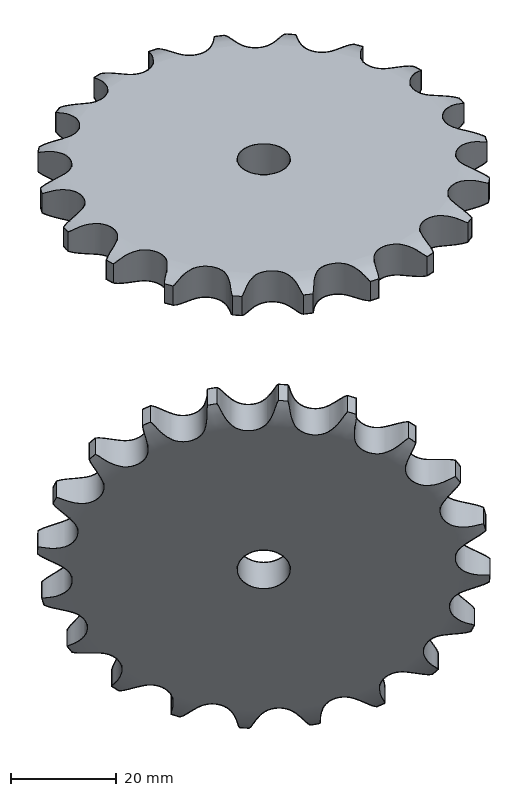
import cadquery as cq
import math

overall_size = 85.0
tooth_count = 20
pitch_diameter = 81.2
roller_diameter = 8.5
thickness = 7.2
bore_diameter = 10.0
flat_face_radius = 37.15

pitch_radius = pitch_diameter / 2
tooth_angle = 360 / tooth_count
chain_pitch = pitch_diameter * math.sin(math.radians(tooth_angle / 2))
side_rounding_radius = chain_pitch

seating_radius = 1.005 * roller_diameter / 2
working_radius = 1.3025 * roller_diameter
seating_angle = 35 + 60 / tooth_count
working_sweep = 18 - 56 / tooth_count
topping_angle = 17 - 64 / tooth_count
working_offset = 0.8 * roller_diameter
topping_offset = 1.4 * roller_diameter
topping_radius = (
    working_offset * math.cos(math.radians(working_sweep))
    + topping_offset * math.cos(math.radians(topping_angle))
    - working_radius
)
flank_length = (
    topping_offset * math.sin(math.radians(topping_angle))
    - working_offset * math.sin(math.radians(working_sweep))
)
flank_angle = seating_angle - working_sweep
gap_end_angle = 45.0


def offset_point(start, distance, angle):
    """Point at a distance from start, along an angle in degrees from +X."""
    direction = math.radians(angle)
    return (start[0] + distance * math.cos(direction), start[1] + distance * math.sin(direction))


def mirrored(point):
    return (-point[0], point[1])


seat_center = (0, pitch_radius)
gap_bottom = (0, pitch_radius - seating_radius)
seat_end = offset_point(seat_center, seating_radius, -seating_angle)
working_center = offset_point(seat_end, working_radius, 180 - seating_angle)
working_middle = offset_point(working_center, working_radius, working_sweep / 2 - seating_angle)
working_end = offset_point(working_center, working_radius, -flank_angle)
flank_end = offset_point(working_end, flank_length, 90 - flank_angle)
topping_center = offset_point(flank_end, topping_radius, -flank_angle)
topping_middle = offset_point(topping_center, topping_radius, 180 - (flank_angle + gap_end_angle) / 2)
topping_end = offset_point(topping_center, topping_radius, 180 - gap_end_angle)

corner_y = overall_size / 2
corner_x = topping_center[0] - math.sqrt(topping_radius**2 - (corner_y - topping_center[1]) ** 2)
tip_radius = math.hypot(corner_x, corner_y)


def make_blank():
    """Disc with a bore, its sides rounded down from the flat faces to the tip cylinder."""
    half_thickness = thickness / 2
    bore_radius = bore_diameter / 2
    rounding_center = (flat_face_radius, half_thickness - side_rounding_radius)
    rounding_sweep = math.degrees(math.asin((tip_radius - flat_face_radius) / side_rounding_radius))
    side_middle = offset_point(rounding_center, side_rounding_radius, 90 - rounding_sweep / 2)
    side_end = offset_point(rounding_center, side_rounding_radius, 90 - rounding_sweep)
    return (
        cq.Workplane("XZ")
        .moveTo(bore_radius, -half_thickness)
        .lineTo(bore_radius, half_thickness)
        .lineTo(flat_face_radius, half_thickness)
        .threePointArc(side_middle, side_end)
        .lineTo(side_end[0], -side_end[1])
        .threePointArc((side_middle[0], -side_middle[1]), (flat_face_radius, -half_thickness))
        .close()
        .revolve(360, (0, 0, 0), (0, 1, 0))
    )


def make_tooth_gap():
    """Cutter for the tooth gap on the +Y axis, through the full thickness."""
    return (
        cq.Workplane("XY")
        .moveTo(*topping_end)
        .threePointArc(topping_middle, flank_end)
        .lineTo(*working_end)
        .threePointArc(working_middle, seat_end)
        .threePointArc(gap_bottom, mirrored(seat_end))
        .threePointArc(mirrored(working_middle), mirrored(working_end))
        .lineTo(*mirrored(flank_end))
        .threePointArc(mirrored(topping_middle), mirrored(topping_end))
        .close()
        .extrude(thickness, both=True)
    )


result = make_blank()
tooth_gap = make_tooth_gap()
for index in range(tooth_count):
    result = result.cut(tooth_gap.rotate((0, 0, 0), (0, 0, 1), index * tooth_angle))